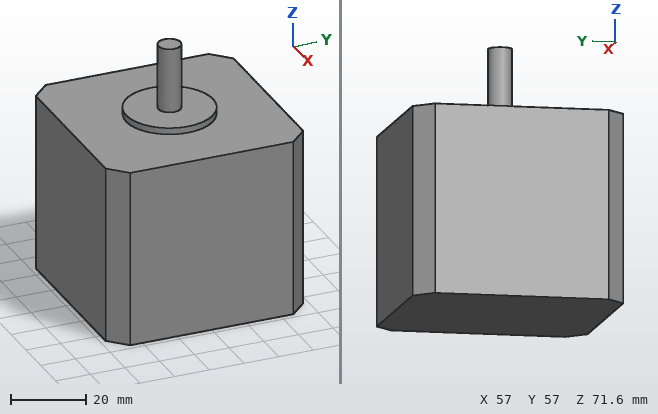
import cadquery as cq

total_height = 71.6
body_width = 57.0
body_height = 51.05
corner_chamfer = 5.0
boss_diameter = 25.0
boss_height = 1.85
shaft_diameter = 6.4

shaft_length = total_height - body_height - boss_height

body = (
    cq.Workplane("XY")
    .rect(body_width, body_width)
    .extrude(body_height)
    .edges("|Z")
    .chamfer(corner_chamfer)
)

with_boss = body.faces(">Z").workplane().circle(boss_diameter / 2).extrude(boss_height)

result = with_boss.faces(">Z").workplane().circle(shaft_diameter / 2).extrude(shaft_length)